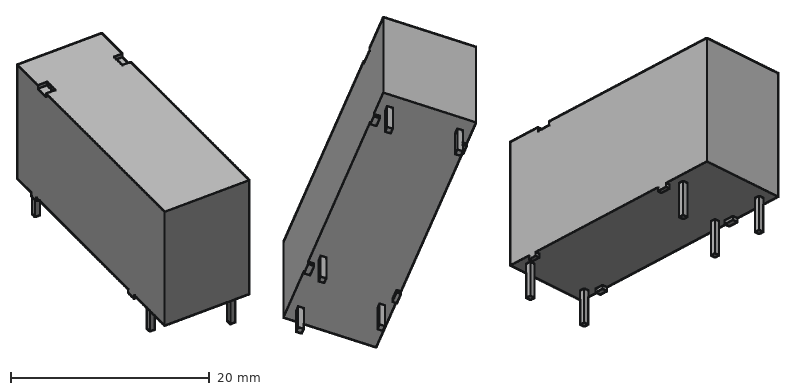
import cadquery as cq

case_length = 28.5
case_width = 10.01
case_height = 14.5
left_end = -case_length / 2
half_width = case_width / 2

pin_size = 0.6
pin_length = 4.0
row_spacing = 7.55
front_row = -row_spacing / 2
back_row = row_spacing / 2
coil_pin_inset = 1.65
coil_to_common = 22.15
coil_pin_x = left_end + coil_pin_inset
contact_pitch = 3.2
common_pin_x = coil_pin_x + coil_to_common
pin_places = [
    (coil_pin_x, front_row),
    (coil_pin_x, back_row),
    (common_pin_x, front_row),
    (common_pin_x - contact_pitch, back_row),
    (common_pin_x + contact_pitch, back_row),
]

foot_height = 0.45
front_foot_depth = 0.5
back_foot_depth = 0.65
left_foot_length = 1.0
left_foot_inset = 2.7
left_foot_start = left_end + left_foot_inset
right_foot_length = 1.2
foot_spacing = 18.7
right_foot_start = left_foot_start + foot_spacing

notch_length = 1.6
notch_inset = 4.0
notch_start = left_end + notch_inset
notch_height = 0.45
front_notch_depth = 1.1
back_notch_depth = 1.0


def block(x_start, y_start, z_start, length, width, height):
    """Box placed by its lowest corner."""
    corner = (x_start, y_start, z_start)
    return cq.Workplane("XY").box(length, width, height, centered=False).translate(corner)


def edge_pair(x_start, z_start, length, front_depth, back_depth, height):
    """Two blocks, flush with the front and back faces of the case."""
    front = block(x_start, -half_width, z_start, length, front_depth, height)
    back = block(x_start, half_width - back_depth, z_start, length, back_depth, height)
    return front.add(back)


def feet(x_start, length):
    return edge_pair(x_start, -foot_height, length, front_foot_depth, back_foot_depth, foot_height)


def notches():
    floor = case_height - notch_height
    return edge_pair(notch_start, floor, notch_length, front_notch_depth, back_notch_depth, notch_height)


def pins():
    return cq.Workplane("XY").pushPoints(pin_places).rect(pin_size, pin_size).extrude(-pin_length)


case = block(left_end, -half_width, 0, case_length, case_width, case_height)
case = case.cut(notches())
case = case.union(feet(left_foot_start, left_foot_length))
case = case.union(feet(right_foot_start, right_foot_length))
result = case.union(pins())